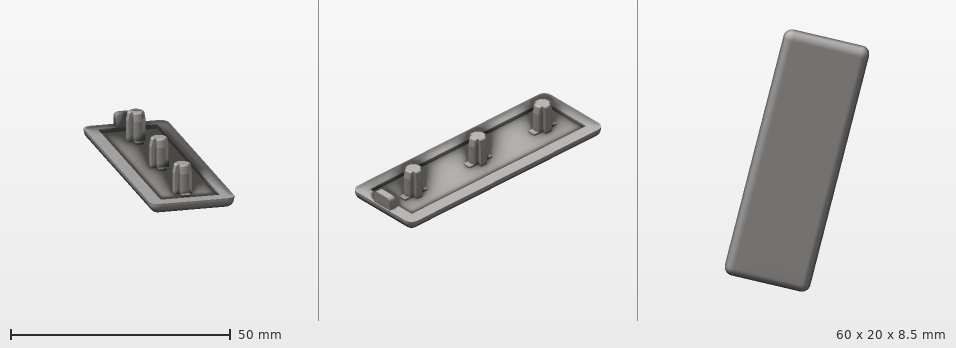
import cadquery as cq
import math

length = 60.0
width = length / 3
plate_thickness = 2.5
edge_radius = length / 30

rim_width = 3.0
pocket_depth = 1.0
pocket_floor = plate_thickness - pocket_depth

overall_height = 8.5
post_spacing = length / 3
post_diameter = 4.5
rib_thickness = 2.0
taper_height = 2.0
taper_angle = 10.0
tip_radius = 0.5

foot_span = 7.0
foot_height = 0.5

tab_width = 5.2
tab_height = 3.0
tab_setback = 0.25
tab_top_end = 1.9
tab_radius = 1.0


def make_plate():
    """Rounded tray, resting on Z = 0 and centred in X and Y."""
    slab = (
        cq.Workplane("XY")
        .box(length, width, plate_thickness, centered=(True, True, False))
        .edges("|Z or <Z")
        .fillet(edge_radius)
    )
    pocket = (
        cq.Workplane("XY", origin=(0, 0, pocket_floor))
        .rect(length - 2 * rim_width, width - 2 * rim_width)
        .extrude(pocket_depth)
    )
    return slab.cut(pocket)


def make_post():
    """Cross-section post with a tapered, rounded tip and two low feet."""
    radius = post_diameter / 2
    post_height = overall_height - pocket_floor
    tip_base_radius = radius - taper_height * math.tan(math.radians(taper_angle))
    envelope = (
        cq.Workplane("XZ")
        .moveTo(0, 0)
        .lineTo(radius, 0)
        .lineTo(radius, post_height - taper_height)
        .lineTo(tip_base_radius, post_height)
        .lineTo(0, post_height)
        .close()
        .revolve(360, (0, 0), (0, 1))
        .faces(">Z")
        .edges()
        .fillet(tip_radius)
    )
    base = cq.Workplane("XY")
    rib_x = base.box(foot_span, rib_thickness, post_height, centered=(True, True, False))
    rib_y = base.box(rib_thickness, foot_span, post_height, centered=(True, True, False))
    feet = base.circle(foot_span / 2).extrude(foot_height).intersect(rib_x)
    return envelope.intersect(rib_x.union(rib_y)).union(feet)


def make_tab():
    """Wedge-backed tab with its two upper side edges rounded."""
    end = -length / 2
    top = plate_thickness + tab_height
    wedge = (
        cq.Workplane("XZ")
        .polyline([
            (end + tab_setback, plate_thickness),
            (end + rim_width, plate_thickness),
            (end + tab_top_end, top),
            (end + tab_setback, top),
        ])
        .close()
        .extrude(tab_width / 2, both=True)
    )
    return wedge.faces(">Z").edges("|X").fillet(tab_radius)


result = make_plate().union(make_tab())
post = make_post()
for step in (-1, 0, 1):
    result = result.union(post.translate((step * post_spacing, 0, pocket_floor)))